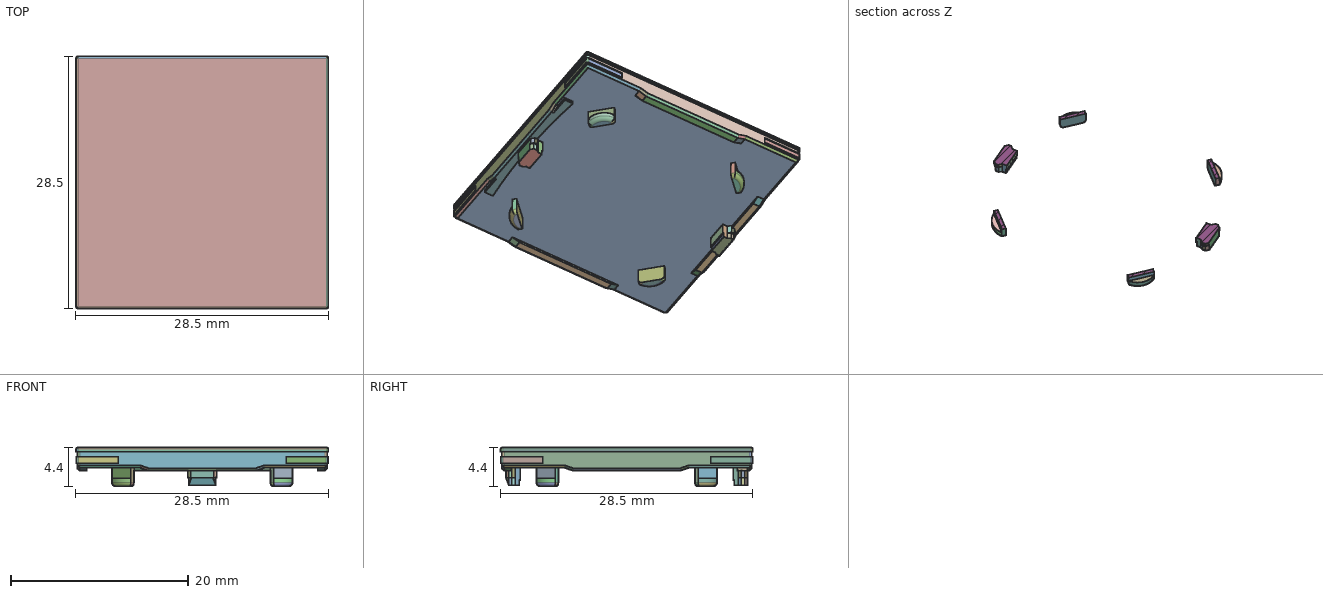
import cadquery as cq
import math

SIDE = 28.5
TOTAL_DEPTH = 4.4

SLAB_DEPTH = 0.5
EDGE_RADIUS = 0.25

SETBACK = 0.12
BODY_SIDE = SIDE - 2 * SETBACK
BODY_DEPTH = 2.3
BODY_CORNER_RADIUS = 0.3
BOTTOM_CHAMFER = 0.28

PAD_SETBACK = 0.03
PAD_TOP = 1.05
PAD_BOTTOM = 1.8
PAD_INNER = 9.5

LIP_DEPTH = 2.62
LIP_WALL = 1.1
LIP_FLAT_HALF = 6.1
LIP_RAMP_LENGTH = 0.95
LIP_HALF_LENGTH = 11.0

RIB_HALF_LENGTH = 8.5
RIB_INNER_Y = 12.5
RIB_SAG = 0.5

CLIP_FAR = 10.2
CLIP_NEAR = 8.05
CLIP_SHIFT = 0.35
HOOK_TOP = 3.5
HOOK_FILLET = 0.45

LATCH_WIDTH = 3.3
LATCH_TIP_WIDTH = 3.05
LATCH_STEM_WIDTH = 2.6
LATCH_INNER_Y = 12.0
LATCH_TIP_INNER_Y = 12.12
LATCH_STEM_END_Y = 12.6
LATCH_HEAD_START_Y = 12.95
LATCH_OUTER_Y = 13.65
LATCH_TIP_OUTER_Y = 13.3
LATCH_CORNER = 0.33
LATCH_STEP_DEPTH = 3.4
LATCH_INNER_STEP_DEPTH = 3.7
LATCH_DEPTH = 4.28

SIDE_ANGLES = (0, 90, 180, 270)


def spin(shape, angle):
    """Turn a shape about the tile's vertical axis."""
    return shape.rotate((0, 0, 0), (0, 0, 1), angle)


def make_slab():
    """The top slab, rounded along its upper edges and corners."""
    slab = cq.Workplane("XY").rect(SIDE, SIDE).extrude(-SLAB_DEPTH)
    return slab.edges("|Z or >Z").fillet(EDGE_RADIUS)


def make_body():
    """The plate under the slab, chamfered along its lower edges."""
    body = cq.Workplane("XY", origin=(0, 0, -SLAB_DEPTH)).rect(BODY_SIDE, BODY_SIDE)
    body = body.extrude(SLAB_DEPTH - BODY_DEPTH)
    body = body.edges("|Z").fillet(BODY_CORNER_RADIUS)
    return body.faces("<Z").edges().chamfer(BOTTOM_CHAMFER)


def make_corner_pad():
    """The pad that wraps round the (-X, -Y) corner."""
    half_span = SIDE / 2 - PAD_SETBACK
    length = half_span - PAD_INNER
    pad = cq.Workplane("XY").box(length, length, PAD_BOTTOM - PAD_TOP, centered=False)
    pad = pad.edges("|Z and <X and <Y").fillet(EDGE_RADIUS)
    return pad.translate((-half_span, -half_span, -PAD_BOTTOM))


def make_lip():
    """The lip of the -Y side, chamfered along its outer lower edge."""
    ramp_start = LIP_FLAT_HALF + LIP_RAMP_LENGTH
    lip = (
        cq.Workplane("XZ", origin=(0, -BODY_SIDE / 2, 0))
        .moveTo(-LIP_HALF_LENGTH, -SLAB_DEPTH)
        .lineTo(-LIP_HALF_LENGTH, -BODY_DEPTH)
        .lineTo(-ramp_start, -BODY_DEPTH)
        .lineTo(-LIP_FLAT_HALF, -LIP_DEPTH)
        .lineTo(LIP_FLAT_HALF, -LIP_DEPTH)
        .lineTo(ramp_start, -BODY_DEPTH)
        .lineTo(LIP_HALF_LENGTH, -BODY_DEPTH)
        .lineTo(LIP_HALF_LENGTH, -SLAB_DEPTH)
        .close()
        .extrude(-LIP_WALL)
    )
    lower_edges = lip.faces("<Y").edges("not(|Z or >Z)")
    return lower_edges.chamfer(BOTTOM_CHAMFER)


def make_rib():
    """The rib that widens the +Y lip, level with the lowest part of that lip."""
    outer_y = BODY_SIDE / 2 - LIP_WALL / 2
    return (
        cq.Workplane("XY", origin=(0, 0, -LIP_DEPTH))
        .moveTo(-RIB_HALF_LENGTH, outer_y)
        .lineTo(-RIB_HALF_LENGTH, RIB_INNER_Y)
        .threePointArc((0, RIB_INNER_Y + RIB_SAG), (RIB_HALF_LENGTH, RIB_INNER_Y))
        .lineTo(RIB_HALF_LENGTH, outer_y)
        .close()
        .extrude(LIP_DEPTH - SLAB_DEPTH)
    )


def make_clip():
    """The clip near the (-X, -Y) corner: a diagonal blade and a quarter-round hook."""
    inner_far = CLIP_FAR - CLIP_SHIFT
    inner_near = CLIP_NEAR - CLIP_SHIFT
    blade = (
        cq.Workplane("XY", origin=(0, 0, -HOOK_TOP))
        .moveTo(-CLIP_FAR, -CLIP_NEAR)
        .lineTo(-CLIP_NEAR, -CLIP_FAR)
        .lineTo(-inner_near, -inner_far)
        .lineTo(-inner_far, -inner_near)
        .close()
        .extrude(HOOK_TOP - SLAB_DEPTH)
    )
    arc_reach = CLIP_NEAR + (CLIP_FAR - CLIP_NEAR) * math.sqrt(0.5)
    hook = (
        cq.Workplane("XY", origin=(0, 0, -TOTAL_DEPTH))
        .moveTo(-CLIP_FAR, -CLIP_NEAR)
        .threePointArc((-arc_reach, -arc_reach), (-CLIP_NEAR, -CLIP_FAR))
        .lineTo(-inner_near, -inner_far)
        .lineTo(-inner_far, -inner_near)
        .close()
        .extrude(TOTAL_DEPTH - HOOK_TOP)
    )
    hook = hook.faces("<Z").edges("not >(1, 1, 0)").fillet(HOOK_FILLET)
    return blade.union(hook)


def make_latch_column(head_width, depth):
    """A T-shaped post: a narrow stem that flares into a wider head with bevelled outer corners."""
    half_stem = LATCH_STEM_WIDTH / 2
    half_head = head_width / 2
    half_front = half_head - LATCH_CORNER
    right_half = [
        (half_stem, -LATCH_INNER_Y),
        (half_stem, -LATCH_STEM_END_Y),
        (half_head, -LATCH_HEAD_START_Y),
        (half_head, LATCH_CORNER - LATCH_OUTER_Y),
        (half_front, -LATCH_OUTER_Y),
    ]
    left_half = [(-x, y) for x, y in reversed(right_half)]
    return cq.Workplane("XY").polyline(right_half + left_half).close().extrude(-depth)


def make_latch(tip_outer_y):
    """The latch of the -Y side; its tip is narrower and reaches out to tip_outer_y at the bottom."""
    profile = (
        cq.Workplane("YZ")
        .moveTo(-LATCH_INNER_Y, -SLAB_DEPTH)
        .lineTo(-LATCH_INNER_Y, -LATCH_INNER_STEP_DEPTH)
        .lineTo(-LATCH_TIP_INNER_Y, -LATCH_INNER_STEP_DEPTH)
        .lineTo(-LATCH_TIP_INNER_Y, -LATCH_DEPTH)
        .lineTo(-tip_outer_y, -LATCH_DEPTH)
        .lineTo(-LATCH_OUTER_Y, -LATCH_STEP_DEPTH)
        .lineTo(-LATCH_OUTER_Y, -SLAB_DEPTH)
        .close()
        .extrude(LATCH_WIDTH / 2, both=True)
    )
    envelope = make_latch_column(LATCH_WIDTH, LATCH_STEP_DEPTH)
    envelope = envelope.union(make_latch_column(LATCH_TIP_WIDTH, LATCH_DEPTH))
    return profile.intersect(envelope)


result = make_slab().union(make_body())
for angle in SIDE_ANGLES:
    result = result.union(spin(make_lip(), angle))
    result = result.union(spin(make_corner_pad(), angle))
    result = result.union(spin(make_clip(), angle))
result = result.union(make_rib())
result = result.union(make_latch(LATCH_TIP_OUTER_Y))
result = result.union(spin(make_latch(LATCH_OUTER_Y), 180))